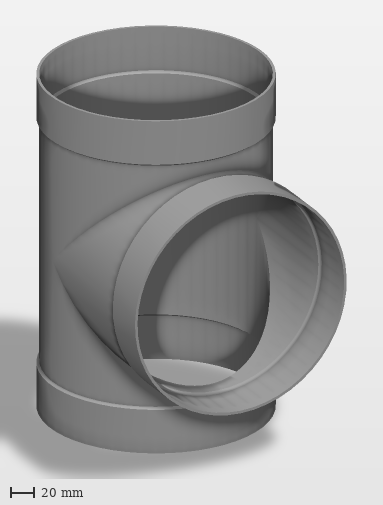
import cadquery as cq

run_length = 310.0
branch_reach = 155.0
body_diameter = 200.0
wall = 2.5
socket_length = 40.5
flare_length = 2.0

half_run = run_length / 2
body_radius = body_diameter / 2
bore_radius = body_radius - wall
socket_radius = body_radius + wall


def socket(mouth_distance, pipe_radius, mouth_radius):
    """Solid flare and socket along Z, with its mouth at the given distance from the origin."""
    socket_start = mouth_distance - socket_length
    flare_start = socket_start - flare_length
    return (
        cq.Workplane("XZ")
        .moveTo(0, flare_start)
        .lineTo(pipe_radius, flare_start)
        .lineTo(mouth_radius, socket_start)
        .lineTo(mouth_radius, mouth_distance)
        .lineTo(0, mouth_distance)
        .close()
        .revolve(360, (0, 0, 0), (0, 1, 0))
    )


def tee(pipe_radius, mouth_radius):
    """Solid tee: a vertical run and a branch along +X, with a socket at each of the three mouths."""
    run = cq.Workplane("XY").circle(pipe_radius).extrude(half_run - socket_length - flare_length, both=True)
    branch = cq.Workplane("YZ").circle(pipe_radius).extrude(branch_reach - socket_length - flare_length)
    run_socket = socket(half_run, pipe_radius, mouth_radius)
    branch_socket = socket(branch_reach, pipe_radius, mouth_radius).rotate((0, 0, 0), (0, 1, 0), 90)
    return (
        run.union(branch)
        .union(run_socket)
        .union(run_socket.mirror("XY"))
        .union(branch_socket)
    )


outer = tee(body_radius, socket_radius)
cavity = tee(bore_radius, body_radius)
result = outer.cut(cavity)